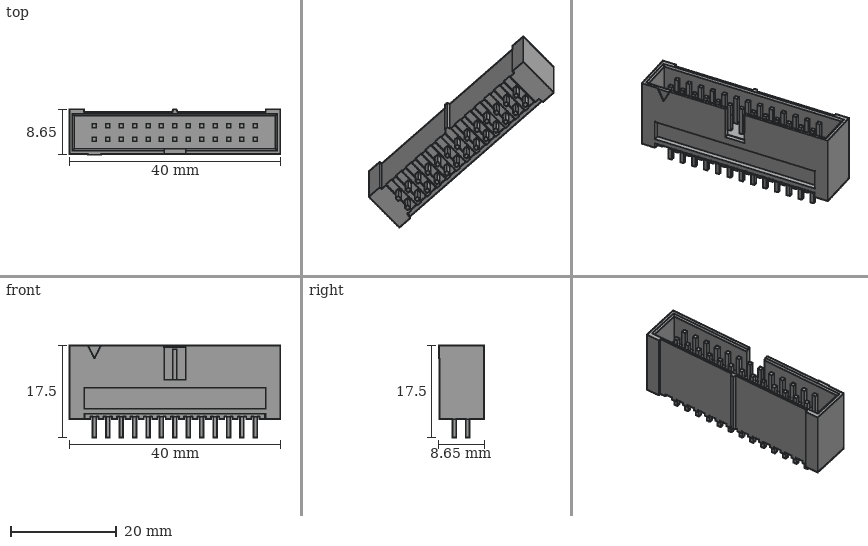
import cadquery as cq


pitch = 2.54
columns = 13
rows = 2
pin_size = 0.75
pin_tail = 3.5
pin_recess = 0.8

body_length = 39.98
body_height = 14.0
front_y = -4.1
back_y = 4.4
first_column_x = -(columns - 1) * pitch / 2

cavity_length = (columns + 2) * pitch
cavity_front_y = -3.12
cavity_back_y = 3.15
cavity_floor_z = 7.4
cavity_chamfer = 0.35

key_slot_width = 4.1
key_slot_floor_z = 7.5

recess_length = 34.34
window_bottom_z = 2.0
window_top_z = 6.0
window_depth = 1.0
back_recess_depth = 0.5
front_notch_height = 1.0
front_notch_depth = 1.0
front_notch_taper = 0.12

groove_width = 1.55
groove_height = 0.5

rib_base_width = 1.0
rib_top_width = 0.6

marker_width = 2.5
marker_height = 2.5
marker_thickness = 0.15


def block(length, y_min, y_max, z_min, z_max, x_center=0.0):
    """Box centred on x_center that spans the given Y and Z limits."""
    return (
        cq.Workplane("XY")
        .box(length, y_max - y_min, z_max - z_min, centered=(True, False, False))
        .translate((x_center, y_min, z_min))
    )


def column_positions():
    return [first_column_x + column * pitch for column in range(columns)]


def row_positions():
    return [(row - (rows - 1) / 2) * pitch for row in range(rows)]


def make_lead_in():
    """Tapered mouth of the cavity."""
    cavity_width = cavity_back_y - cavity_front_y
    cavity_center_y = (cavity_back_y + cavity_front_y) / 2
    return (
        cq.Workplane("XY", origin=(0, cavity_center_y, body_height - cavity_chamfer))
        .rect(cavity_length, cavity_width)
        .workplane(offset=cavity_chamfer)
        .rect(cavity_length + 2 * cavity_chamfer, cavity_width + 2 * cavity_chamfer)
        .loft(ruled=True)
    )


def make_front_notch():
    """Notch along the lower front edge; its end walls taper inward with depth."""
    front_half = recess_length / 2
    back_half = front_half - front_notch_taper
    notch_back_y = front_y + front_notch_depth
    return (
        cq.Workplane("XY")
        .moveTo(-front_half, front_y)
        .lineTo(front_half, front_y)
        .lineTo(back_half, notch_back_y)
        .lineTo(-back_half, notch_back_y)
        .close()
        .extrude(front_notch_height)
    )


def make_rib():
    """Trapezoidal rib that fills the back recess at mid length."""
    rib_base_y = back_y - back_recess_depth
    return (
        cq.Workplane("XY")
        .moveTo(-rib_base_width / 2, rib_base_y)
        .lineTo(rib_base_width / 2, rib_base_y)
        .lineTo(rib_top_width / 2, back_y)
        .lineTo(-rib_top_width / 2, back_y)
        .close()
        .extrude(body_height)
    )


def make_marker():
    """Triangle at the top of the front face, pointing down at the first column."""
    return (
        cq.Workplane("XZ", origin=(first_column_x, front_y, body_height))
        .moveTo(-marker_width / 2, 0)
        .lineTo(marker_width / 2, 0)
        .lineTo(0, -marker_height)
        .close()
        .extrude(marker_thickness)
    )


def make_housing():
    housing = block(body_length, front_y, back_y, 0, body_height)
    cavity = block(cavity_length, cavity_front_y, cavity_back_y, cavity_floor_z, body_height)
    key_slot = block(key_slot_width, front_y, cavity_front_y, key_slot_floor_z, body_height)
    window = block(recess_length, front_y, front_y + window_depth, window_bottom_z, window_top_z)
    back_recess = block(recess_length, back_y - back_recess_depth, back_y, 0, body_height)
    for cutter in (cavity, make_lead_in(), key_slot, window, make_front_notch(), back_recess):
        housing = housing.cut(cutter)
    housing = housing.union(make_rib())
    for x in column_positions():
        housing = housing.cut(block(groove_width, front_y, back_y, 0, groove_height, x))
    return housing.union(make_marker())


def add_pins(housing):
    pin_top_z = body_height - pin_recess
    for x in column_positions():
        for y in row_positions():
            pin = block(pin_size, y - pin_size / 2, y + pin_size / 2, -pin_tail, pin_top_z, x)
            housing = housing.union(pin)
    return housing


result = add_pins(make_housing())